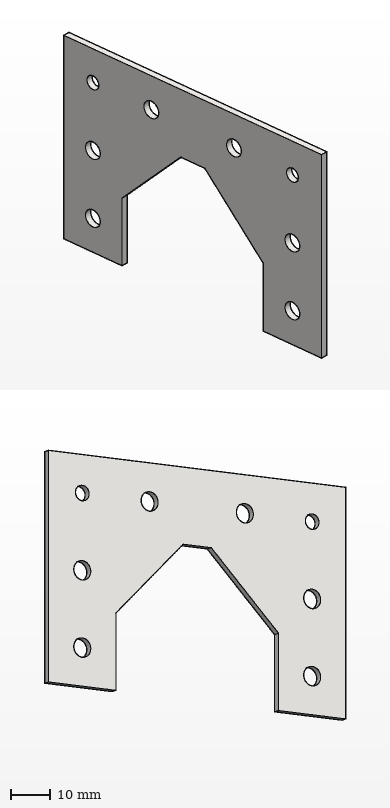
import cadquery as cq

WIDTH = 88.3
HEIGHT = 60.0
THICKNESS = 2.0
BAND = 20.0
CORNER_LEG = 20.0
HOLE_PITCH = 20.0
SMALL_HOLE_DIAMETER = 4.0
LARGE_HOLE_DIAMETER = 5.0

TOP = HEIGHT / 2
BOTTOM = -HEIGHT / 2
NOTCH_HALF_WIDTH = WIDTH / 2 - BAND
NOTCH_TOP = TOP - BAND
CORNER_X = WIDTH / 2 - BAND / 2
CORNER_Z = TOP - BAND / 2


def make_plate():
    """Flat rectangular plate standing in the XZ plane."""
    return cq.Workplane("XY").box(WIDTH, THICKNESS, HEIGHT)


def make_notch():
    """Opening in the bottom edge whose upper corners are cut at 45 degrees."""
    flat_half_width = NOTCH_HALF_WIDTH - CORNER_LEG
    shoulder_z = NOTCH_TOP - CORNER_LEG
    return (
        cq.Workplane("XZ")
        .moveTo(-NOTCH_HALF_WIDTH, BOTTOM)
        .lineTo(-NOTCH_HALF_WIDTH, shoulder_z)
        .lineTo(-flat_half_width, NOTCH_TOP)
        .lineTo(flat_half_width, NOTCH_TOP)
        .lineTo(NOTCH_HALF_WIDTH, shoulder_z)
        .lineTo(NOTCH_HALF_WIDTH, BOTTOM)
        .close()
        .extrude(THICKNESS / 2, both=True)
    )


def make_hole_pins(points, diameter):
    """Cylinders along Y that cut through holes at the given (x, z) points."""
    return (
        cq.Workplane("XZ")
        .pushPoints(points)
        .circle(diameter / 2)
        .extrude(THICKNESS / 2, both=True)
    )


small_holes = []
large_holes = []
for side in (-1, 1):
    small_holes.append((side * CORNER_X, CORNER_Z))
    large_holes.append((side * (CORNER_X - HOLE_PITCH), CORNER_Z))
    large_holes.append((side * CORNER_X, CORNER_Z - HOLE_PITCH))
    large_holes.append((side * CORNER_X, CORNER_Z - 2 * HOLE_PITCH))

result = make_plate().cut(make_notch())
result = result.cut(make_hole_pins(small_holes, SMALL_HOLE_DIAMETER))
result = result.cut(make_hole_pins(large_holes, LARGE_HOLE_DIAMETER))